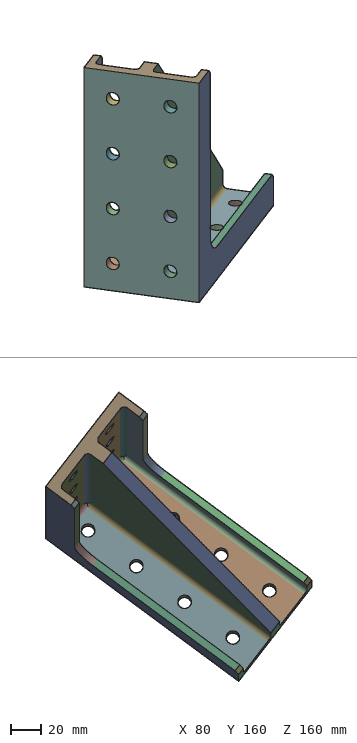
import cadquery as cq

width = 80.0
leg = 160.0
plate_thickness = 7.7
lip_thickness = 5.1
lip_height = 24.0
lip_corner_radius = 14.9
rib_thickness = 9.6
rib_end_height = 21.0
pocket_fillet = 3.2
hole_diameter = 9.0
hole_pitch = 40.0
holes_across = 2
holes_along = 4

pocket_width = (width - 2 * lip_thickness - rib_thickness) / 2
pocket_starts = (lip_thickness, lip_thickness + pocket_width + rib_thickness)


def triangular_body():
    """Full-width block with a 45 degree sloped face and short square ends."""
    return (
        cq.Workplane("YZ")
        .polyline([(0, 0), (leg, 0), (leg, rib_end_height), (rib_end_height, leg), (0, leg)])
        .close()
        .extrude(width)
    )


def lip_cutter(x_start):
    """Space above one L-shaped side wall, rounded at its inner corner."""
    return (
        cq.Workplane("XY")
        .box(lip_thickness, leg, leg, centered=False)
        .edges("|X and <Y and <Z")
        .fillet(lip_corner_radius)
        .translate((x_start, lip_height, lip_height))
    )


def pocket_cutter(x_start):
    """Channel between a side wall and the gusset; its rounded inner edges meet in mitred corners."""
    block = cq.Workplane("XY").box(pocket_width, 2 * leg, 2 * leg, centered=False)
    cutter = block
    for axis in ("X", "Y", "Z"):
        cutter = cutter.intersect(block.edges("|" + axis).fillet(pocket_fillet))
    return cutter.translate((x_start, plate_thickness, plate_thickness))


def hole_cutter(plane_name, direction):
    """Grid of mounting holes through the plate that lies on the given plane."""
    return (
        cq.Workplane(plane_name)
        .center(width / 2, leg / 2)
        .rarray(hole_pitch, hole_pitch, holes_across, holes_along)
        .circle(hole_diameter / 2)
        .extrude(direction * plate_thickness)
    )


result = triangular_body()
for lip_start in (0, width - lip_thickness):
    result = result.cut(lip_cutter(lip_start))
for pocket_start in pocket_starts:
    result = result.cut(pocket_cutter(pocket_start))

result = result.cut(hole_cutter("XY", 1))
result = result.cut(hole_cutter("XZ", -1))